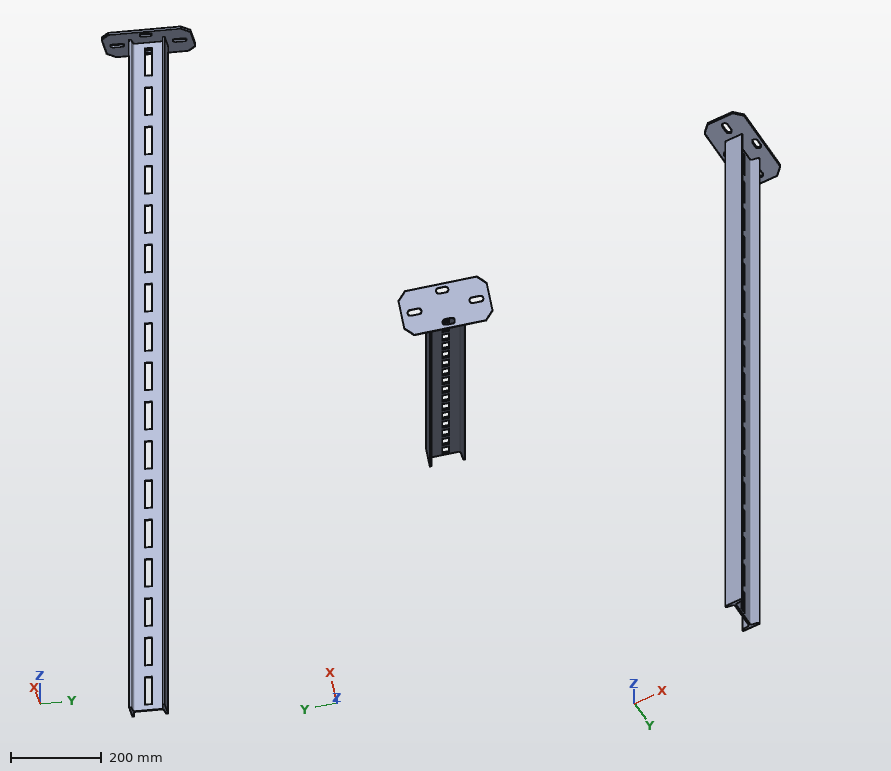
import cadquery as cq

total_height = 1702.0

plate_width = 100.0
plate_length = 200.0
plate_thickness = 6.0
corner_chamfer = 19.0

plate_slot_width = 13.0
end_slot_length = 30.0
end_slot_offset = 70.0
side_slot_length = 27.0
side_slot_offset = 35.0

beam_length = total_height - plate_thickness
beam_depth = 80.0
flange_width = 43.0
web_thickness = 4.0
flange_tip_thickness = 4.3
flange_root_thickness = 7.2
root_fillet = web_thickness
tip_fillet = 2.4

web_slot_count = 17
web_slot_length = 70.0
web_slot_width = 15.0
web_slot_row_length = 1599.0
web_slot_pitch = web_slot_row_length / (web_slot_count - 1)
first_web_slot_height = 50.0


def make_beam_profile():
    """Extruded I-section, symmetric about X and Y, with filleted web roots."""
    half_flange = flange_width / 2
    half_web = web_thickness / 2
    half_depth = beam_depth / 2
    tip_y = half_depth - flange_tip_thickness
    root_y = half_depth - flange_root_thickness
    profile = (
        cq.Workplane("XY")
        .polyline([
            (-half_flange, half_depth),
            (half_flange, half_depth),
            (half_flange, tip_y),
            (half_web, root_y),
            (half_web, -root_y),
            (half_flange, -tip_y),
            (half_flange, -half_depth),
            (-half_flange, -half_depth),
            (-half_flange, -tip_y),
            (-half_web, -root_y),
            (-half_web, root_y),
            (-half_flange, tip_y),
        ])
        .close()
        .extrude(beam_length)
    )
    root_zone = cq.selectors.BoxSelector(
        (-web_thickness, -half_depth, 0),
        (web_thickness, half_depth, beam_length),
    )
    tip_zone_y = half_depth - flange_tip_thickness / 2
    tip_zone = cq.selectors.BoxSelector(
        (-flange_width, -tip_zone_y, 0),
        (flange_width, tip_zone_y, beam_length),
    )
    with_roots = profile.edges("|Z").edges(root_zone).fillet(root_fillet)
    return with_roots.edges("<X or >X").edges("|Z").edges(tip_zone).fillet(tip_fillet)


def make_web_slots():
    """Cutters for the row of slots, passing through the web along X."""
    slot_centres = [
        (0, first_web_slot_height + i * web_slot_pitch)
        for i in range(web_slot_count)
    ]
    return (
        cq.Workplane("YZ")
        .pushPoints(slot_centres)
        .rect(web_slot_width, web_slot_length)
        .extrude(web_thickness, both=True)
    )


def make_plate_slots(centres, length):
    """Cutters for round-ended slots through the plate, elongated along Y."""
    return (
        cq.Workplane("XY", origin=(0, 0, beam_length))
        .pushPoints(centres)
        .slot2D(length, plate_slot_width, 90)
        .extrude(plate_thickness)
    )


def make_beam():
    """I-beam with its row of web slots."""
    return make_beam_profile().cut(make_web_slots())


def make_head_plate():
    """Plate with chamfered corners and a mounting slot near each side."""
    plate = (
        cq.Workplane("XY", origin=(0, 0, beam_length))
        .rect(plate_width, plate_length)
        .extrude(plate_thickness)
        .edges("|Z")
        .chamfer(corner_chamfer)
    )
    end_slots = make_plate_slots(
        [(0, -end_slot_offset), (0, end_slot_offset)], end_slot_length
    )
    side_slots = make_plate_slots(
        [(-side_slot_offset, 0), (side_slot_offset, 0)], side_slot_length
    )
    return plate.cut(end_slots).cut(side_slots)


beam = make_beam()
head_plate = make_head_plate()

result = cq.Compound.makeCompound([beam.val(), head_plate.val()])